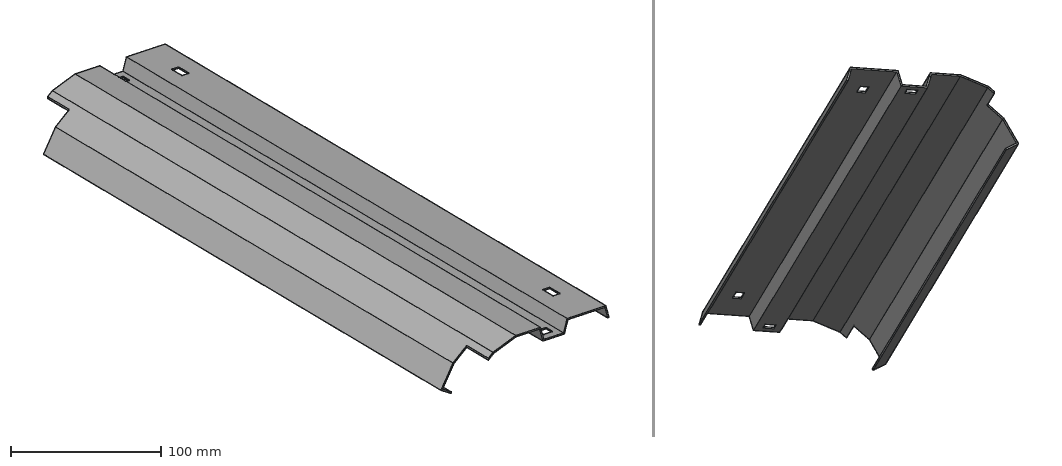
import cadquery as cq
import math

length = 490.0
thickness = 1.2

rear_lip_length = 10.0
rear_lip_angle = 74.0
rear_flat = 32.5
channel_opening = 22.0
channel_depth = 10.0
channel_wall_run = 3.0
front_flat = 20.5
facet_length = 20.0
facet_bend = 20.0
facet_count = 3
front_lip_length = 10.0

notch_length = 24.0
notch_from_rear = 100.5
slot_size = (12.0, 6.0)
slot_from_end = 38.5
slot_from_rear = 19.0
square_size = (7.5, 7.5)
clearance = 5.0
square_from_end = 10.0


def step(point, distance, slope):
    """Move forward (-Y) from a point along a downward slope in degrees."""
    angle = math.radians(slope)
    return (point[0] - distance * math.cos(angle), point[1] - distance * math.sin(angle))


def inner_face(points):
    """Offset an open polyline by the sheet thickness, with mitred bends and square ends."""
    normals = []
    for (y0, z0), (y1, z1) in zip(points, points[1:]):
        run = math.hypot(y1 - y0, z1 - z0)
        normals.append((-(z1 - z0) / run, (y1 - y0) / run))
    before = [normals[0]] + normals
    after = normals + [normals[-1]]
    offset = []
    for (y, z), (ay, az), (by, bz) in zip(points, before, after):
        miter = thickness / (1 + ay * by + az * bz)
        offset.append((y + (ay + by) * miter, z + (az + bz) * miter))
    return offset


rear_lip_angle_rad = math.radians(rear_lip_angle)
rear_lip_run = rear_lip_length * math.cos(rear_lip_angle_rad)
rear_lip_drop = rear_lip_length * math.sin(rear_lip_angle_rad)
channel_start = -(rear_lip_run + rear_flat)
channel_end = channel_start - channel_opening
outer = [
    (0, -rear_lip_drop),
    (-rear_lip_run, 0),
    (channel_start, 0),
    (channel_start - channel_wall_run, -channel_depth),
    (channel_end + channel_wall_run, -channel_depth),
    (channel_end, 0),
    (channel_end - front_flat, 0),
]
for facet in range(1, facet_count + 1):
    outer.append(step(outer[-1], facet_length, facet * facet_bend))
outer.append(step(outer[-1], front_lip_length, facet_count * facet_bend + 90))
front_edge = min(y for y, z in outer)
lowest = min(z for y, z in outer)

profile = outer + inner_face(outer)[::-1]
result = cq.Workplane("YZ").polyline(profile).close().extrude(length / 2, both=True)


def vertical_cutter(size, x, y):
    """Rectangular prism through the full height of the part."""
    height = 2 * (abs(lowest) + clearance)
    return cq.Workplane("XY").box(size[0], size[1], height).translate((x, y, 0))


square_from_rear = -(channel_start + channel_end) / 2
notch_width = -front_edge - notch_from_rear + clearance
for side in (-1, 1):
    result = result.cut(vertical_cutter(slot_size, side * (length / 2 - slot_from_end), -slot_from_rear))
    result = result.cut(vertical_cutter(square_size, side * (length / 2 - square_from_end), -square_from_rear))
    notch_x = side * (length - notch_length) / 2
    notch_y = -notch_from_rear - notch_width / 2
    result = result.cut(vertical_cutter((notch_length, notch_width), notch_x, notch_y))